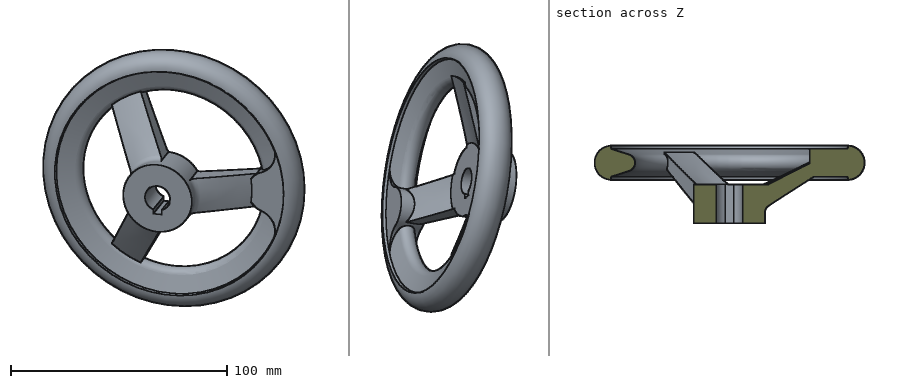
import cadquery as cq
import math


RIM_DIAMETER = 125.0
RIM_THICKNESS = 16.0
RIM_BORE_DIAMETER = 87.0
RIM_STEP_DEPTH = 1.5
RIM_STEP_FLARE = 0.4
RIM_BORE_ROUND = 4.0
RIM_RADIUS = RIM_DIAMETER / 2
TUBE_RADIUS = RIM_THICKNESS / 2
CROWN_RADIUS = RIM_RADIUS - TUBE_RADIUS
RIM_BORE_RADIUS = RIM_BORE_DIAMETER / 2
RIM_FRONT = -TUBE_RADIUS
STEP_FLOOR = RIM_FRONT + RIM_STEP_DEPTH

HUB_RADIUS = 33.0 / 2
HUB_LENGTH = 18.0
HUB_PROJECTION = 20.0
HUB_FRONT = RIM_FRONT - HUB_PROJECTION
HUB_BACK = HUB_FRONT + HUB_LENGTH
BORE_RADIUS = 12.0 / 2
KEYWAY_WIDTH = 4.0
KEYWAY_REACH = 7.8

SPOKE_COUNT = 3
SPOKE_HUB_WIDTH = 17.0
SPOKE_RIM_WIDTH = 16.0
SPOKE_FRONT_ANGLE = 32.5
SPOKE_BACK_ANGLE = 27.0
SPOKE_BACK_START_RADIUS = 17.8
SPOKE_FRONT_SETBACK = 7.0
SPOKE_ROOT_FILLET = 3.5
SPOKE_END_RADIUS = 47.0

BOSS_RADIUS = 10.0
BOSS_CENTRE = 47.0
BOSS_BLEND = 10.0


def make_rim():
    """Revolve the rim section, which is symmetric about the mid-plane."""
    round_centre_r = RIM_BORE_RADIUS + RIM_BORE_ROUND
    span_r = CROWN_RADIUS - round_centre_r
    span = math.hypot(span_r, STEP_FLOOR)
    flank_angle = math.atan2(-STEP_FLOOR, span_r) - math.asin(RIM_BORE_ROUND / span)
    flank_end_r = round_centre_r - RIM_BORE_ROUND * math.sin(flank_angle)
    flank_end_y = RIM_BORE_ROUND * math.cos(flank_angle)
    step_top_r = CROWN_RADIUS + RIM_STEP_FLARE
    step_top_y = math.sqrt(TUBE_RADIUS**2 - RIM_STEP_FLARE**2)
    return (
        cq.Workplane("XY")
        .moveTo(step_top_r, -step_top_y)
        .threePointArc((RIM_RADIUS, 0), (step_top_r, step_top_y))
        .lineTo(CROWN_RADIUS, -STEP_FLOOR)
        .lineTo(flank_end_r, flank_end_y)
        .threePointArc((RIM_BORE_RADIUS, 0), (flank_end_r, -flank_end_y))
        .lineTo(CROWN_RADIUS, STEP_FLOOR)
        .close()
        .revolve(360, (0, 0, 0), (0, 1, 0))
    )


def make_hub():
    """Plain cylinder between the hub faces."""
    return cq.Workplane("XZ", origin=(0, HUB_BACK, 0)).circle(HUB_RADIUS).extrude(HUB_LENGTH)


def make_spoke_dish():
    """Revolved dish whose sectors form the spokes, with a fillet at the hub."""
    front = math.radians(SPOKE_FRONT_ANGLE)
    back = math.radians(SPOKE_BACK_ANGLE)
    corner_y = HUB_FRONT + SPOKE_FRONT_SETBACK
    setback = SPOKE_ROOT_FILLET * math.tan((math.pi / 2 - front) / 2)
    fillet_top_y = corner_y - setback
    fillet_end_r = HUB_RADIUS + setback * math.cos(front)
    fillet_end_y = corner_y + setback * math.sin(front)
    fillet_centre_r = HUB_RADIUS + SPOKE_ROOT_FILLET
    mid_angle = (math.pi / 2 - front) / 2
    mid_r = fillet_centre_r - SPOKE_ROOT_FILLET * math.cos(mid_angle)
    mid_y = fillet_top_y + SPOKE_ROOT_FILLET * math.sin(mid_angle)
    reach = SPOKE_END_RADIUS - HUB_RADIUS
    back_reach = SPOKE_END_RADIUS - SPOKE_BACK_START_RADIUS
    inner_r = (BORE_RADIUS + HUB_RADIUS) / 2
    return (
        cq.Workplane("XY")
        .moveTo(inner_r, HUB_BACK)
        .lineTo(inner_r, fillet_top_y)
        .lineTo(HUB_RADIUS, fillet_top_y)
        .threePointArc((mid_r, mid_y), (fillet_end_r, fillet_end_y))
        .lineTo(SPOKE_END_RADIUS, corner_y + reach * math.tan(front))
        .lineTo(SPOKE_END_RADIUS, HUB_BACK + back_reach * math.tan(back))
        .lineTo(SPOKE_BACK_START_RADIUS, HUB_BACK)
        .close()
        .revolve(360, (0, 0, 0), (0, 1, 0))
    )


def make_spokes():
    """Cut one tapered sector out of the dish and repeat it around the axis."""
    hub_half = SPOKE_HUB_WIDTH / 2
    rim_half = SPOKE_RIM_WIDTH / 2
    inner_x = math.sqrt(HUB_RADIUS**2 - hub_half**2)
    sector = (
        cq.Workplane("XZ", origin=(0, -HUB_FRONT, 0))
        .polyline([
            (0, -hub_half),
            (inner_x, -hub_half),
            (SPOKE_END_RADIUS, -rim_half),
            (SPOKE_END_RADIUS, rim_half),
            (inner_x, hub_half),
            (0, hub_half),
        ])
        .close()
        .extrude(-2 * HUB_FRONT)
    )
    spoke = make_spoke_dish().intersect(sector)
    spokes = spoke
    for index in range(1, SPOKE_COUNT):
        angle = index * 360 / SPOKE_COUNT
        spokes = spokes.union(spoke.rotate((0, 0, 0), (0, 1, 0), angle))
    return spokes


def make_boss():
    """Boss with a round nose and blends tangent to both the nose and the rim step."""
    blend_r = CROWN_RADIUS - BOSS_BLEND
    blend_gap = BOSS_RADIUS + BOSS_BLEND
    blend_x = (blend_r**2 + BOSS_CENTRE**2 - blend_gap**2) / (2 * BOSS_CENTRE)
    blend_z = math.sqrt(blend_r**2 - blend_x**2)
    nose_share = BOSS_RADIUS / blend_gap
    nose_x = BOSS_CENTRE + (blend_x - BOSS_CENTRE) * nose_share
    nose_z = blend_z * nose_share
    rim_x = blend_x * CROWN_RADIUS / blend_r
    rim_z = blend_z * CROWN_RADIUS / blend_r
    chord_x = (nose_x + rim_x) / 2 - blend_x
    chord_z = (nose_z + rim_z) / 2 - blend_z
    chord_distance = math.hypot(chord_x, chord_z)
    mid_x = blend_x + chord_x * BOSS_BLEND / chord_distance
    mid_z = blend_z + chord_z * BOSS_BLEND / chord_distance
    return (
        cq.Workplane("XZ", origin=(0, -STEP_FLOOR, 0))
        .moveTo(nose_x, nose_z)
        .threePointArc((mid_x, mid_z), (rim_x, rim_z))
        .threePointArc((CROWN_RADIUS, 0), (rim_x, -rim_z))
        .threePointArc((mid_x, -mid_z), (nose_x, -nose_z))
        .threePointArc((BOSS_CENTRE - BOSS_RADIUS, 0), (nose_x, nose_z))
        .close()
        .extrude(-2 * STEP_FLOOR)
    )


def make_bore():
    """Through bore with a keyway on its -Z side."""
    plane = cq.Workplane("XZ", origin=(0, HUB_BACK, 0))
    keyway = plane.center(0, -KEYWAY_REACH / 2).rect(KEYWAY_WIDTH, KEYWAY_REACH).extrude(HUB_LENGTH)
    return plane.circle(BORE_RADIUS).extrude(HUB_LENGTH).union(keyway)


body = make_rim().union(make_boss()).union(make_spokes()).union(make_hub())
result = body.cut(make_bore())